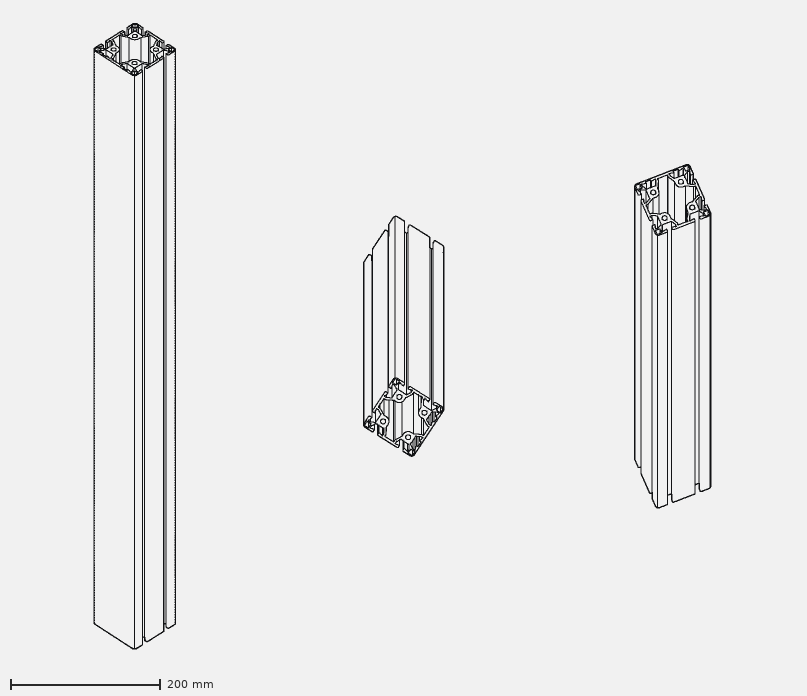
import cadquery as cq

side = 80.0
length = 1000.0
half = side / 2
corner_radius = 4.0

slot_offset = side / 4
slot_opening = 7.2
slot_width = 20.0
slot_floor_width = 13.0
slot_depth = 12.25
slot_shoulder_depth = 6.0
lip_tip_thickness = 4.5
lip_root_thickness = 3.0
mouth_radius = 1.5
closed_wall = 2.0

core_hole_diameter = 6.8

arm_wall = 4.0
arm_reach = half - arm_wall
arm_half_width = 7.0
taper_outer = 33.0
taper_inner = 23.5
core_inner = 12.2
core_radius = slot_offset - core_inner

corner_cavity_size = 6.5
corner_cavity_offset = 35.0


def slot_mouth(closed):
    """Outer end of the +Y slot outline, ending at the right-hand side of the opening."""
    edge = slot_opening / 2
    if closed:
        top = half - closed_wall
        return cq.Workplane("XY").moveTo(-edge, top).lineTo(edge, top)
    rounding_start = half - mouth_radius
    return (
        cq.Workplane("XY")
        .moveTo(-edge, rounding_start)
        .radiusArc((-edge - mouth_radius, half), -mouth_radius)
        .lineTo(edge + mouth_radius, half)
        .radiusArc((edge, rounding_start), -mouth_radius)
    )


def slot_cutter(center_x, closed):
    """T-slot for the +Y side; an open slot has rounded mouth edges."""
    right_side = [
        (slot_opening / 2, half - lip_tip_thickness),
        (slot_width / 2, half - lip_root_thickness),
        (slot_width / 2, half - slot_shoulder_depth),
        (slot_floor_width / 2, half - slot_depth),
    ]
    left_side = [(-x, y) for x, y in reversed(right_side)]
    outline = slot_mouth(closed)
    for point in right_side + left_side:
        outline = outline.lineTo(*point)
    return outline.close().extrude(length).translate((center_x, 0, 0))


def quarter_turned(point, turns):
    """Point turned clockwise about the profile centre by a number of quarter turns."""
    x, y = point
    for _ in range(turns):
        x, y = y, -x
    return x, y


def central_cavity():
    """Four-armed cavity that narrows between the slots and is rounded around the core holes."""
    arm_side = [
        (arm_half_width, arm_reach),
        (arm_half_width, taper_outer),
        (core_inner, taper_inner),
        (core_inner, slot_offset),
    ]
    next_arm_side = [(y, x) for x, y in reversed(arm_side)]
    outline = cq.Workplane("XY").moveTo(-arm_half_width, arm_reach)
    for turns in range(4):
        for point in arm_side:
            outline = outline.lineTo(*quarter_turned(point, turns))
        arc_end = quarter_turned(next_arm_side[0], turns)
        outline = outline.radiusArc(arc_end, -core_radius)
        for point in next_arm_side[1:-1]:
            outline = outline.lineTo(*quarter_turned(point, turns))
        if turns < 3:
            outline = outline.lineTo(*quarter_turned(next_arm_side[-1], turns))
    return outline.close().extrude(length)


def four_points(offset):
    """Points at the same offset from both centre lines, one in each quarter."""
    return cq.Workplane("XY").rect(2 * offset, 2 * offset, forConstruction=True).vertices()


def outer_bar():
    return cq.Workplane("XY").rect(side, side).extrude(length).edges("|Z").fillet(corner_radius)


result = outer_bar()
for angle in (0, 90, 180, 270):
    for center_x in (-slot_offset, slot_offset):
        slot = slot_cutter(center_x, closed=(angle == 180))
        result = result.cut(slot.rotate((0, 0, 0), (0, 0, 1), angle))
result = result.cut(central_cavity())
result = result.cut(four_points(slot_offset).circle(core_hole_diameter / 2).extrude(length))
corner_cavities = four_points(corner_cavity_offset).rect(corner_cavity_size, corner_cavity_size)
result = result.cut(corner_cavities.extrude(length))